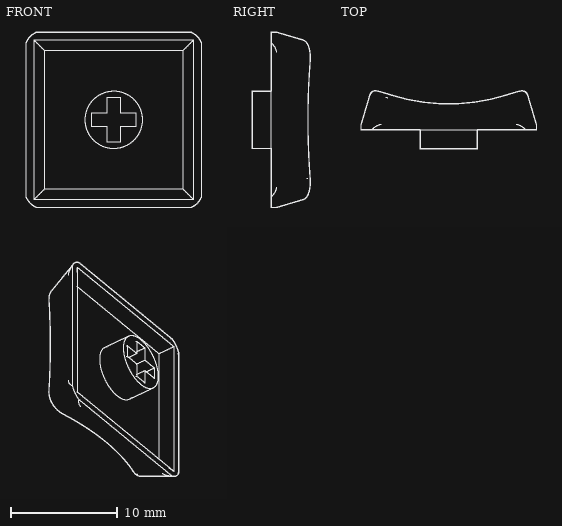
import cadquery as cq
import math

CAP_WIDTH = 16.5
SKIRT_HEIGHT = 0.5
WALL_DRAFT = 16.5
CORNER_RADIUS = 1.98
BLANK_HEIGHT = 4.95

DISH_CENTRE_HEIGHT = 2.05
DISH_RADIUS_X = 17.5
DISH_RADIUS_Z = 66.0
RIM_FILLET = 0.5

POCKET_MOUTH = 15.0
POCKET_FLOOR = 13.0
POCKET_DEPTH = 1.0

STEM_DIAMETER = 5.4
STEM_PROJECTION = 1.8
CROSS_LENGTH = 4.2
CROSS_WIDTH = 1.25


def plane_at(height):
    """Plane parallel to the rim, with its normal along +Y."""
    return cq.Workplane(cq.Plane((0, height, 0), (1, 0, 0), (0, 1, 0)))


def square_frustum(start_width, end_width, height):
    return (
        plane_at(0)
        .rect(start_width, start_width)
        .workplane(offset=height)
        .rect(end_width, end_width)
        .loft(ruled=True)
    )


def dish_cutter():
    """Ring whose outermost surface forms the dish."""
    axis_offset = DISH_RADIUS_Z - DISH_RADIUS_X
    return (
        cq.Workplane("XY")
        .center(0, DISH_CENTRE_HEIGHT + DISH_RADIUS_X)
        .circle(DISH_RADIUS_X)
        .revolve(360, (0, axis_offset), (1, axis_offset))
    )


def cap_body():
    slope = math.tan(math.radians(WALL_DRAFT))
    rim_width = CAP_WIDTH + 2 * SKIRT_HEIGHT * slope
    blank_top_width = rim_width - 2 * BLANK_HEIGHT * slope
    blank = square_frustum(rim_width, blank_top_width, BLANK_HEIGHT)
    blank = blank.edges("not(#Y)").fillet(CORNER_RADIUS)
    body = blank.cut(dish_cutter())
    body = body.faces("%TORUS").edges().fillet(RIM_FILLET)
    return body.intersect(square_frustum(CAP_WIDTH, CAP_WIDTH, BLANK_HEIGHT))


def stem():
    """Round post from the pocket floor to beyond the rim."""
    return (
        plane_at(-STEM_PROJECTION)
        .circle(STEM_DIAMETER / 2)
        .extrude(STEM_PROJECTION + POCKET_DEPTH)
    )


def cross_socket():
    """Cross-shaped socket as deep as the post is long."""
    depth = STEM_PROJECTION + POCKET_DEPTH
    upright = plane_at(-STEM_PROJECTION).rect(CROSS_WIDTH, CROSS_LENGTH).extrude(depth)
    crossbar = plane_at(-STEM_PROJECTION).rect(CROSS_LENGTH, CROSS_WIDTH).extrude(depth)
    return upright.union(crossbar)


pocket = square_frustum(POCKET_MOUTH, POCKET_FLOOR, POCKET_DEPTH)
result = cap_body().cut(pocket).union(stem()).cut(cross_socket())